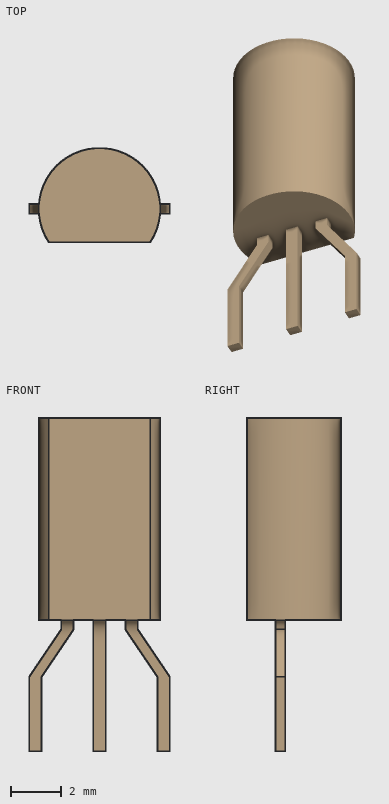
import cadquery as cq
import math

body_radius = 2.41
body_height = 8.0
flat_offset = 1.33

lead_width = 0.5
lead_thickness = 0.4
lead_length = 5.2
lead_pitch = 2.54
exit_pitch = lead_pitch / 2
upper_bend_depth = 0.37
lower_bend_depth = 2.25
lead_embed = 0.5


def make_body():
    """D-shaped column standing on Z = 0."""
    half_flat = math.sqrt(body_radius**2 - flat_offset**2)
    return (
        cq.Workplane("XY")
        .moveTo(-half_flat, -flat_offset)
        .threePointArc((0, body_radius), (half_flat, -flat_offset))
        .close()
        .extrude(body_height)
    )


def make_lead(side):
    """Lead on the given side: -1 left, 0 centre (straight), 1 right."""
    exit_x = side * exit_pitch
    tip_x = side * lead_pitch
    half_width = lead_width / 2
    centreline = [(exit_x, lead_embed)]
    if side != 0:
        centreline.append((exit_x, -upper_bend_depth))
        centreline.append((tip_x, -lower_bend_depth))
    centreline.append((tip_x, -lead_length))
    left_edge = [(x - half_width, z) for x, z in centreline]
    right_edge = [(x + half_width, z) for x, z in centreline]
    outline = left_edge + right_edge[::-1]
    return cq.Workplane("XZ").polyline(outline).close().extrude(lead_thickness / 2, both=True)


result = make_body()
for lead_side in (-1, 0, 1):
    result = result.union(make_lead(lead_side))